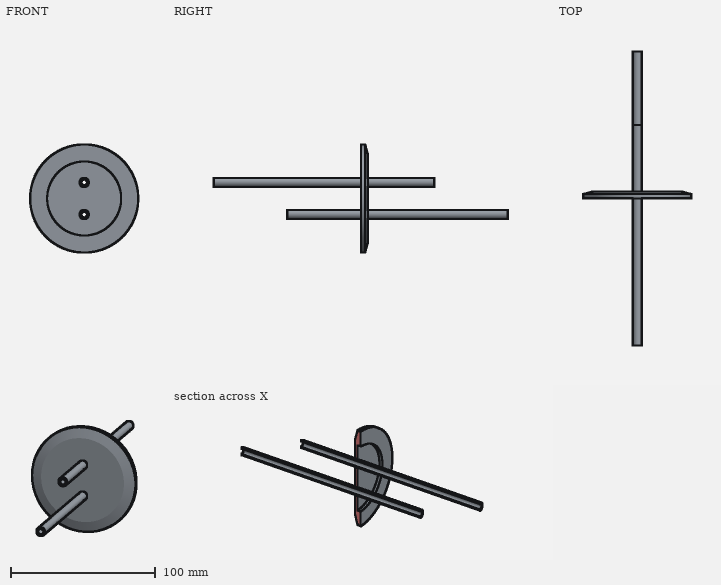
import cadquery as cq
import math

flange_diameter = 75.0
flange_thickness = 5.0
rim_thickness = 3.0
taper_angle = 15.0
recess_diameter = 51.2
recess_depth = 2.6

tube_outer_diameter = 6.35
tube_bore_diameter = 3.95
tube_length = 152.4
tube_spacing = 22.2
long_reach = tube_length * 2 / 3
short_reach = tube_length - long_reach

tube_places = [
    (tube_spacing / 2, long_reach),
    (-tube_spacing / 2, short_reach),
]


def along_y(start_y, z=0.0):
    """Workplane facing +Y at start_y, centred on x = 0 and the given height."""
    return cq.Workplane(cq.Plane(origin=(0, start_y, z), xDir=(1, 0, 0), normal=(0, 1, 0)))


def make_flange():
    """Disc with a tapered back, a shallow front recess and two tube holes."""
    rim_radius = flange_diameter / 2
    taper_width = (flange_thickness - rim_thickness) / math.tan(math.radians(taper_angle))
    flange = (
        cq.Workplane("XY")
        .lineTo(rim_radius, 0)
        .lineTo(rim_radius, rim_thickness)
        .lineTo(rim_radius - taper_width, flange_thickness)
        .lineTo(0, flange_thickness)
        .close()
        .revolve(360, (0, 0, 0), (0, 1, 0))
    )
    flange = flange.cut(along_y(0).circle(recess_diameter / 2).extrude(recess_depth))
    for height, _ in tube_places:
        flange = flange.cut(along_y(0, height).circle(tube_outer_diameter / 2).extrude(flange_thickness))
    return flange


def make_tube(height, front_reach):
    """Open tube that starts front_reach in front of the flange face."""
    return (
        along_y(-front_reach, height)
        .circle(tube_outer_diameter / 2)
        .circle(tube_bore_diameter / 2)
        .extrude(tube_length)
    )


flange = make_flange()
tubes = [make_tube(height, front_reach) for height, front_reach in tube_places]

result = cq.Compound.makeCompound([flange.val(), *[tube.val() for tube in tubes]])